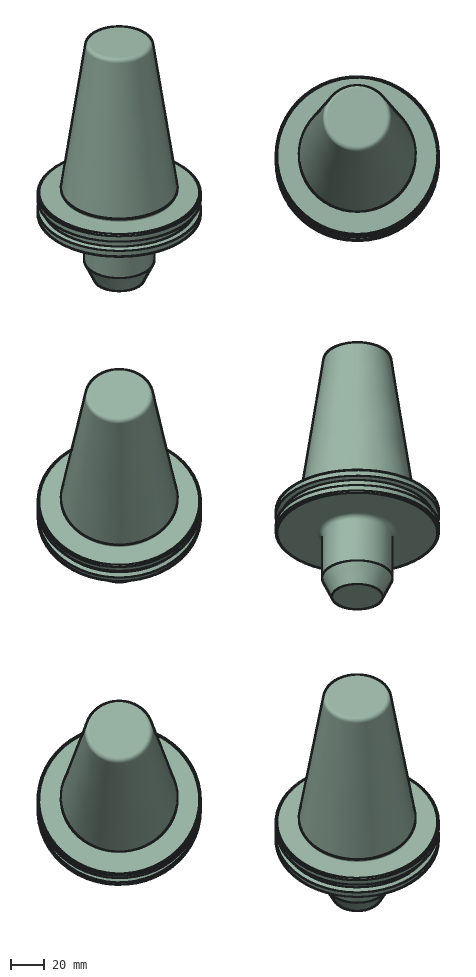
import cadquery as cq
import math

total_height = 164.8
nose_cone_height = 12.9
flange_bottom = 44.0
flange_top = 60.0
gauge_height = 63.0

nose_tip_radius = 15.2
nose_radius = 21.1
flange_radius = 48.8
groove_radius = 45.6
neck_radius = 34.5
gauge_radius = 35.0

taper_slope = 7 / 24 / 2
top_radius = gauge_radius - taper_slope * (total_height - gauge_height)
top_fillet = 2.6

rim_chamfer = 1.0
groove_bottom = 50.0
groove_top = 54.0
groove_wall_rise = 1.2
root_fillet = 3.0

neck_step_top = 62.0
neck_root_fillet = 0.5


def arc_middle(center_radius, center_height, fillet, height_direction):
    """Midpoint of a quarter arc that bulges inward and towards height_direction."""
    diagonal = fillet * math.sqrt(0.5)
    return (center_radius - diagonal, center_height + height_direction * diagonal)


def revolve_profile(profile):
    """Turn a closed radius-height profile around the Z axis."""
    return profile.close().revolve(360, (0, 0, 0), (0, 1, 0))


def make_nose():
    """Straight cylindrical nose ending in a cone, with a fillet under the flange."""
    fillet_radius = nose_radius + root_fillet
    fillet_start = flange_bottom - root_fillet
    profile = (
        cq.Workplane("XZ")
        .lineTo(nose_tip_radius, 0)
        .lineTo(nose_radius, nose_cone_height)
        .lineTo(nose_radius, fillet_start)
        .threePointArc(
            arc_middle(fillet_radius, fillet_start, root_fillet, 1),
            (fillet_radius, flange_bottom),
        )
        .lineTo(0, flange_bottom)
    )
    return revolve_profile(profile)


def make_flange():
    """Chamfered disc with a sloped-wall groove around its rim."""
    profile = [
        (0, flange_bottom),
        (flange_radius - rim_chamfer, flange_bottom),
        (flange_radius, flange_bottom + rim_chamfer),
        (flange_radius, groove_bottom - groove_wall_rise),
        (groove_radius, groove_bottom),
        (groove_radius, groove_top),
        (flange_radius, groove_top + groove_wall_rise),
        (flange_radius, flange_top - rim_chamfer),
        (flange_radius - rim_chamfer, flange_top),
        (0, flange_top),
    ]
    return revolve_profile(cq.Workplane("XZ").polyline(profile))


def make_taper():
    """Tool taper standing on a slightly narrower neck, rounded at its small end."""
    fillet_radius = neck_radius + neck_root_fillet
    fillet_top = flange_top + neck_root_fillet
    profile = (
        cq.Workplane("XZ")
        .moveTo(0, flange_top)
        .lineTo(fillet_radius, flange_top)
        .threePointArc(
            arc_middle(fillet_radius, fillet_top, neck_root_fillet, -1),
            (neck_radius, fillet_top),
        )
        .lineTo(neck_radius, neck_step_top)
        .lineTo(gauge_radius, gauge_height)
        .lineTo(top_radius, total_height)
        .lineTo(0, total_height)
    )
    return revolve_profile(profile).faces(">Z").edges().fillet(top_fillet)


result = make_nose().union(make_flange()).union(make_taper())